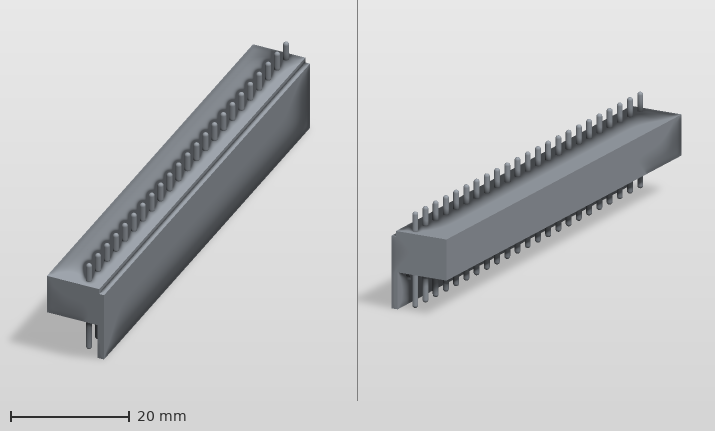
import cadquery as cq
import math

pin_count = 23
length = 80.5
pitch = length / pin_count

depth = 10.6
body_bottom = 6.5
body_top = 13.8
ledge_width = 0.9
ledge_drop = 1.0
wall_thickness = 1.2
wall_x = depth - wall_thickness

pin_x = 7.0
pin_radius = 0.5
pin_bottom = 0.2
pin_top = 17.15

nub_bulge_radius = 0.7
nub_bulge_z = 5.55
nub_stem_width = 1.0
nub_projection = 0.7
nub_bottom = 4.5
nub_y = (pin_count - 2) / 2 * pitch


def make_housing():
    """Body block with a stepped top edge and a thin wall hanging from one side."""
    ledge_x = depth - ledge_width
    profile = [
        (0, body_bottom),
        (wall_x, body_bottom),
        (wall_x, 0),
        (depth, 0),
        (depth, body_top - ledge_drop),
        (ledge_x, body_top - ledge_drop),
        (ledge_x, body_top),
        (0, body_top),
    ]
    return cq.Workplane("XZ").polyline(profile).close().extrude(length / 2, both=True)


def make_pin(y):
    """Round pin with hemispherical tips, passing vertically through the body."""
    lower_dome_z = pin_bottom + pin_radius
    upper_dome_z = pin_top - pin_radius
    diagonal = pin_radius * math.sqrt(0.5)
    return (
        cq.Workplane("XZ", origin=(pin_x, y, 0))
        .moveTo(0, pin_bottom)
        .threePointArc((diagonal, lower_dome_z - diagonal), (pin_radius, lower_dome_z))
        .lineTo(pin_radius, upper_dome_z)
        .threePointArc((diagonal, upper_dome_z + diagonal), (0, pin_top))
        .close()
        .revolve(360, (0, 0, 0), (0, 1, 0))
    )


def make_nub(y):
    """Small nub on the inner face of the wall: a straight stem below the body with a round bulge."""
    nub_face = cq.Workplane("YZ", origin=(wall_x - nub_projection, y, 0))
    stem_height = body_bottom - nub_bottom
    stem = (
        nub_face.center(0, nub_bottom + stem_height / 2)
        .rect(nub_stem_width, stem_height)
        .extrude(nub_projection)
    )
    bulge = nub_face.center(0, nub_bulge_z).circle(nub_bulge_radius).extrude(nub_projection)
    return stem.union(bulge)


result = make_housing()
first_pin_y = -(pin_count - 1) / 2 * pitch
for index in range(pin_count):
    result = result.union(make_pin(first_pin_y + index * pitch))
for side in (-1, 1):
    result = result.union(make_nub(side * nub_y))